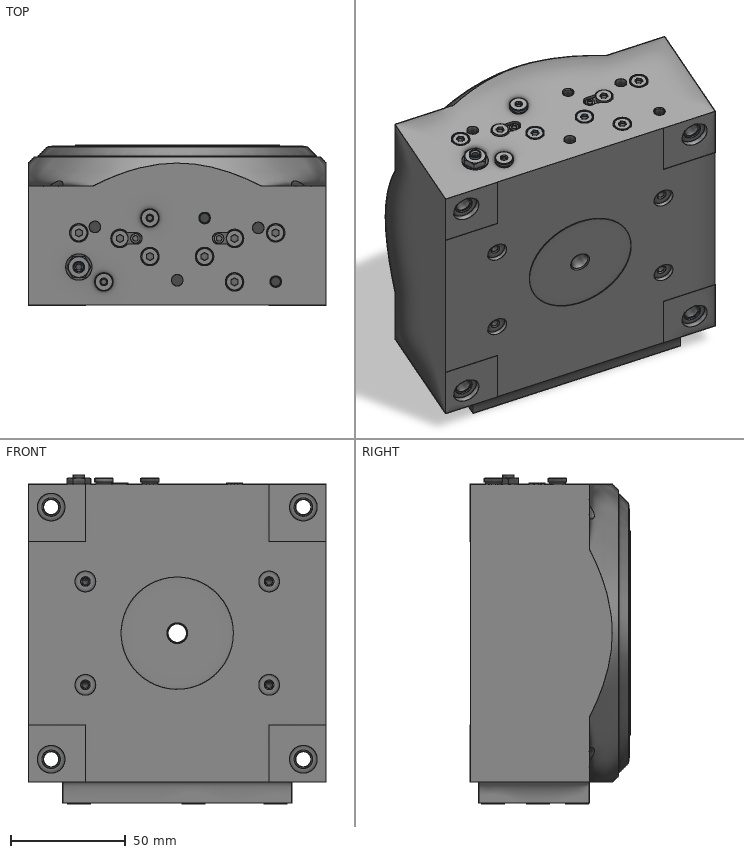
import cadquery as cq

block_side = 130.0
block_half = block_side / 2
shelf_y = 52.0
top_z = block_half
bottom_z = -block_half

cone_top_y = 64.8
cone_top_radius = 62.3
cone_base_radius = 74.7
rear_face_radius = 44.5
table_base_radius = 60.7
table_skirt_height = 0.3
table_bevel_y = cone_top_y + table_skirt_height
table_edge_y = 69.0
table_edge_radius = table_base_radius - (table_edge_y - table_bevel_y)
table_top_y = 69.5
table_top_radius = 53.8
rear_y = 70.0

pad_side = 25.0
pad_height = 0.1
disc_recess_diameter = 49.0
disc_recess_depth = 0.3
center_hole_diameter = 8.0
center_mouth_diameter = 9.0

mount_offset = 55.0
mount_sleeve_diameter = 12.0
mount_sleeve_depth = 2.5
mount_bore_diameter = 8.0
mount_bore_depth = 3.3
mount_hole_diameter = 6.6
mount_spotface_diameter = 10.5

thread_x = 40.0
thread_z = 22.5
thread_sleeve_diameter = 9.0
thread_sleeve_depth = 2.0
thread_mouth_diameter = 4.2
thread_hole_diameter = 3.0
thread_hole_depth = 12.9

plate_length = 100.0
plate_front_y = 3.7
plate_thickness = 9.2
foot_diameter = 10.0
foot_height = 0.5
foot_places = [(-43.0, 10.0), (7.0, 46.7), (43.0, 29.6)]

port_diameter = 5.0
port_depth = 7.2
port_bore_diameter = 4.2
plain_port_places = [(-35.9, 34.2), (35.3, 33.7), (0, 10.9)]
sunk_port_places = [(11.9, 38.0), (43.0, 10.3)]
plugged_port_places = [(-11.9, 38.0), (-32.0, 10.2)]

flush_screw_places = [(-43.0, 31.6), (43.0, 31.6), (-11.9, 21.3), (11.9, 21.3), (25.0, 10.2)]
screw_seat_diameter = 8.0
screw_head_diameter = 7.0
screw_groove_depth = 0.7
screw_socket_flats = 3.0
screw_socket_depth = 1.5

adjuster_x = 25.0
adjuster_y = 29.2
adjuster_height = 0.5
slot_screw_x = 18.2
slot_end_x = 15.4
slot_width = 5.0
slot_depth = 1.5
slot_screw_diameter = 4.2
slot_screw_hole_diameter = 2.5

plug_head_diameter = 8.0
plug_neck_diameter = 7.0
plug_neck_height = 0.9
plug_height = 2.7
plug_chamfer = 0.3
plug_socket_diameter = 2.5
plug_socket_mouth_diameter = 3.3
plug_socket_depth = 1.5

breather_x = -43.0
breather_y = 16.7
breather_seat_diameter = 11.5
breather_seat_depth = 0.5
breather_corners = 10.5
breather_hex_height = 2.7
breather_chamfer_diameter = 9.0
breather_chamfer_width = (breather_corners - breather_chamfer_diameter) / 2
breather_chamfer_height = 0.5
breather_collar_diameter = 5.0
breather_height = 4.0
breather_hole_diameter = 2.7
breather_hole_depth = 2.9
breather_sink_diameter = 4.0


def front_cylinder(x, z, diameter, start_y, end_y):
    """Cylinder along +Y from start_y to end_y."""
    plane = cq.Workplane(cq.Plane((x, start_y, z), (1, 0, 0), (0, 1, 0)))
    return plane.circle(diameter / 2).extrude(end_y - start_y)


def front_cone(x, z, start_diameter, end_diameter, start_y):
    """Cone along +Y that narrows at 45 degrees; an end diameter of 0 makes it pointed."""
    start_radius = start_diameter / 2
    end_radius = end_diameter / 2
    height = start_radius - end_radius
    return cq.Workplane(cq.Solid.makeCone(
        start_radius, end_radius, height, cq.Vector(x, start_y, z), cq.Vector(0, 1, 0)
    ))


def sunk_hole(x, y, hole_diameter, mouth_diameter, depth, high_z):
    """Cutter for a hole along -Z from high_z whose mouth is countersunk at 45 degrees."""
    mouth_radius = mouth_diameter / 2
    hole_radius = hole_diameter / 2
    height = mouth_radius - hole_radius
    mouth = cq.Workplane(cq.Solid.makeCone(
        mouth_radius, hole_radius, height, cq.Vector(x, y, high_z), cq.Vector(0, 0, -1)
    ))
    return upright_cylinder(x, y, hole_diameter, high_z - depth, high_z).union(mouth)


def upright_cylinder(x, y, diameter, low_z, high_z):
    """Cylinder along +Z from low_z to high_z."""
    return cq.Workplane(origin=(x, y, low_z)).circle(diameter / 2).extrude(high_z - low_z)


def upright_hexagon(x, y, corners, low_z, high_z):
    """Hexagonal prism along +Z; corners is its width over the corners, which lie along X."""
    return cq.Workplane(origin=(x, y, low_z)).polygon(6, corners).extrude(high_z - low_z)


def hex_socket(x, y, flats, low_z, high_z):
    """Hexagonal prism along +Z with its flats facing X."""
    corners_to_flats = 0.75 ** 0.5
    corners = flats / corners_to_flats
    prism = upright_hexagon(x, y, corners, low_z, high_z)
    return prism.rotate((x, y, 0), (x, y, 1), 90)


def four_places(x, z):
    """The point (x, z) mirrored to all four quarters of the front face."""
    return [(sx * x, sz * z) for sx in (-1, 1) for sz in (-1, 1)]


def body_shell():
    """Square block with the round rear housing, whose cone is trimmed to the square."""
    block = cq.Workplane().box(block_side, shelf_y, block_side).translate((0, shelf_y / 2, 0))
    profile = [
        (0, 0),
        (cone_base_radius, 0),
        (cone_base_radius, shelf_y),
        (cone_top_radius, cone_top_y),
        (table_base_radius, cone_top_y),
        (table_base_radius, table_bevel_y),
        (table_edge_radius, table_edge_y),
        (table_top_radius, table_top_y),
        (rear_face_radius, table_top_y),
        (rear_face_radius, rear_y),
        (0, rear_y),
    ]
    round_housing = cq.Workplane().polyline(profile).close().revolve(360, (0, 0, 0), (0, 1, 0))
    square = cq.Workplane().box(block_side, rear_y, block_side).translate((0, rear_y / 2, 0))
    return block.union(round_housing.intersect(square))


def connection_plate():
    """Plate under the block, flush with its rear shelf, with thin round feet."""
    width = shelf_y - plate_front_y
    plate = cq.Workplane().box(plate_length, width, plate_thickness)
    plate = plate.translate((0, plate_front_y + width / 2, bottom_z - plate_thickness / 2))
    plate_bottom = bottom_z - plate_thickness
    for x, y in foot_places:
        plate = plate.union(upright_cylinder(x, y, foot_diameter, plate_bottom - foot_height, plate_bottom))
    return plate


def cut_front_relief(body):
    """Lower the front face everywhere but on the four corner pads."""
    relief = cq.Workplane().box(block_side, pad_height, block_side)
    pad_center = block_half - pad_side / 2
    for x, z in four_places(pad_center, pad_center):
        relief = relief.cut(cq.Workplane().box(pad_side, pad_height, pad_side).translate((x, 0, z)))
    return body.cut(relief.translate((0, pad_height / 2, 0)))


def cut_center(body):
    """Shallow round recess and the chamfered through hole on the main axis."""
    recess_y = pad_height + disc_recess_depth
    body = body.cut(front_cylinder(0, 0, disc_recess_diameter, 0, recess_y))
    hole = front_cylinder(0, 0, center_hole_diameter, 0, rear_y)
    mouth = front_cone(0, 0, center_mouth_diameter, center_hole_diameter, recess_y)
    return body.cut(hole).cut(mouth)


def cut_mounting_holes(body):
    """Stepped through holes in the corners, with spot faces that clear the cone."""
    for x, z in four_places(mount_offset, mount_offset):
        body = body.cut(front_cylinder(x, z, mount_sleeve_diameter, 0, mount_sleeve_depth))
        body = body.cut(front_cylinder(x, z, mount_bore_diameter, 0, mount_bore_depth))
        body = body.cut(front_cylinder(x, z, mount_hole_diameter, 0, shelf_y))
        body = body.cut(front_cylinder(x, z, mount_spotface_diameter, shelf_y, rear_y))
    return body


def cut_threaded_holes(body):
    """Blind threaded holes with a sleeve seat, a countersunk mouth and a drill point."""
    for x, z in four_places(thread_x, thread_z):
        body = body.cut(front_cylinder(x, z, thread_sleeve_diameter, 0, thread_sleeve_depth))
        body = body.cut(front_cone(x, z, thread_mouth_diameter, thread_hole_diameter, thread_sleeve_depth))
        body = body.cut(front_cylinder(x, z, thread_hole_diameter, 0, thread_hole_depth))
        body = body.cut(front_cone(x, z, thread_hole_diameter, 0, thread_hole_depth))
    return body


def cut_ports(body):
    """Plain open ports, plain ports that take the plugs, and ports with a countersunk mouth."""
    for x, y in plain_port_places + plugged_port_places:
        body = body.cut(upright_cylinder(x, y, port_diameter, top_z - port_depth, top_z))
    for x, y in sunk_port_places:
        body = body.cut(sunk_hole(x, y, port_bore_diameter, port_diameter, port_depth, top_z))
    return body


def add_flush_screws(body):
    """Each screw shows as a ring groove round a flat head with a hexagonal socket."""
    groove_z = top_z - screw_groove_depth
    for x, y in flush_screw_places:
        groove = upright_cylinder(x, y, screw_seat_diameter, groove_z, top_z)
        groove = groove.cut(upright_cylinder(x, y, screw_head_diameter, groove_z, top_z))
        socket = hex_socket(x, y, screw_socket_flats, top_z - screw_socket_depth, top_z)
        body = body.cut(groove).cut(socket)
    return body


def add_adjusters(body):
    """Raised adjusting screws, each with a short slot that holds a small screw."""
    slot_z = top_z - slot_depth
    slot_length = adjuster_x - slot_end_x
    slot_middle_x = (adjuster_x + slot_end_x) / 2
    head_top = top_z + adjuster_height
    for side in (-1, 1):
        x = side * adjuster_x
        seat = upright_cylinder(x, adjuster_y, screw_seat_diameter, slot_z, top_z)
        slot = cq.Workplane(origin=(side * slot_middle_x, adjuster_y, slot_z))
        slot = slot.slot2D(slot_length, slot_width).extrude(slot_depth)
        head = upright_cylinder(x, adjuster_y, screw_head_diameter, slot_z, head_top)
        socket = hex_socket(x, adjuster_y, screw_socket_flats, head_top - screw_socket_depth, head_top)
        small_x = side * slot_screw_x
        small = upright_cylinder(small_x, adjuster_y, slot_screw_diameter, slot_z, top_z - slot_depth / 2)
        hole = upright_cylinder(small_x, adjuster_y, slot_screw_hole_diameter, slot_z, top_z)
        body = body.cut(seat).cut(slot).union(head).union(small).cut(socket).cut(hole)
    return body


def cut_breather_seat(body):
    """Shallow round seat and the blind hole for the breather stem."""
    seat_z = top_z - breather_seat_depth
    body = body.cut(upright_cylinder(breather_x, breather_y, breather_seat_diameter, seat_z, top_z))
    return body.cut(upright_cylinder(breather_x, breather_y, port_diameter, top_z - port_depth, top_z))


def build_housing():
    body = body_shell().union(connection_plate())
    body = cut_front_relief(body)
    body = cut_center(body)
    body = cut_mounting_holes(body)
    body = cut_threaded_holes(body)
    body = cut_ports(body)
    body = add_flush_screws(body)
    body = add_adjusters(body)
    return cut_breather_seat(body)


def build_port_plug(x, y):
    """Plug whose stem fills its port, with a neck, a wider head and a round socket."""
    neck_top = top_z + plug_neck_height
    head_top = top_z + plug_height
    head = upright_cylinder(x, y, plug_head_diameter, neck_top, head_top).faces(">Z").chamfer(plug_chamfer)
    neck = upright_cylinder(x, y, plug_neck_diameter, top_z, neck_top)
    stem = upright_cylinder(x, y, port_diameter, top_z - port_depth, top_z)
    socket = sunk_hole(x, y, plug_socket_diameter, plug_socket_mouth_diameter, plug_socket_depth, head_top)
    return stem.union(neck).union(head).cut(socket)


def build_breather():
    """Hexagonal breather with a bevelled top, a round collar and a stem in its port."""
    x, y = breather_x, breather_y
    hex_top = top_z + breather_hex_height
    collar_top = top_z + breather_height
    hexagon = upright_hexagon(x, y, breather_corners, top_z - breather_seat_depth, hex_top)
    bevel = upright_cylinder(x, y, breather_corners, top_z - breather_seat_depth, hex_top)
    bevel = bevel.faces(">Z").chamfer(breather_chamfer_height, breather_chamfer_width)
    stem = upright_cylinder(x, y, port_diameter, top_z - port_depth, top_z)
    collar = upright_cylinder(x, y, breather_collar_diameter, hex_top, collar_top)
    hole = sunk_hole(x, y, breather_hole_diameter, breather_sink_diameter, breather_hole_depth, collar_top)
    return hexagon.intersect(bevel).union(stem).union(collar).cut(hole)


housing = build_housing()
port_plugs = [build_port_plug(x, y) for x, y in plugged_port_places]
breather = build_breather()

result = cq.Compound.makeCompound(
    [housing.val(), *[plug.val() for plug in port_plugs], breather.val()]
)